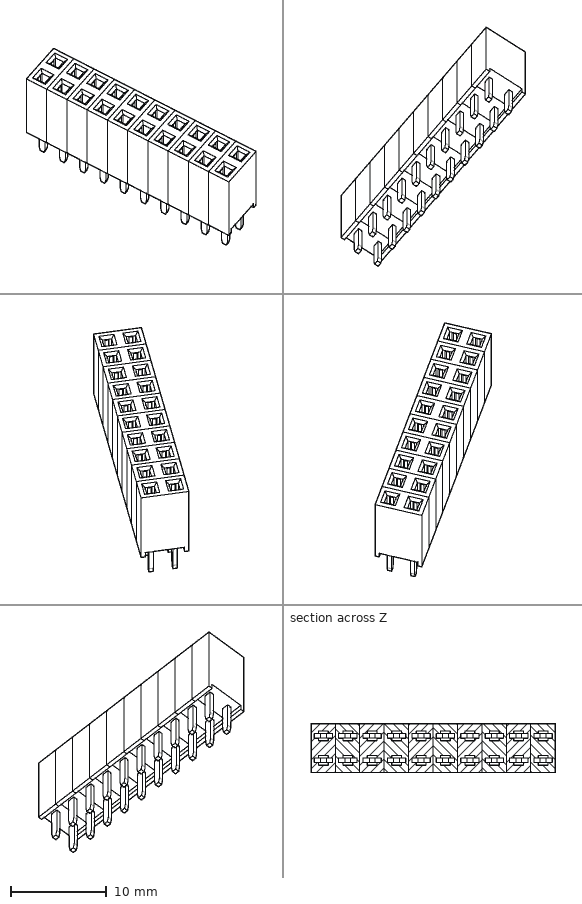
import cadquery as cq

columns = 10
pitch = 2.55
row_offsets = (-pitch / 2, pitch / 2)
depth = 2 * pitch

housing_height = 8.5
foot_height = 0.6
foot_width = 0.45

mouth_size = 1.6
bore_size = 1.0
lead_in_depth = (mouth_size - bore_size) / 2
bore_top_z = housing_height - lead_in_depth
bore_floor_z = 4.06

contact_thickness = 0.45
slot_cover = 0.1
slot_top_z = bore_top_z - slot_cover
slot_width = 1.88
slot_bottom_width = 0.6
slot_taper_depth = 1.52
slot_bottom_sag = 0.1

tail_width = 0.75
tail_length = 3.2
tip_width = 0.48
tip_length = 0.6


def make_block():
    """One column of the housing: a block on two feet that run along X."""
    block = cq.Workplane("XY").box(pitch, depth, housing_height, centered=(True, True, False))
    underside = cq.Workplane("XY").box(
        pitch, depth - 2 * foot_width, foot_height, centered=(True, True, False)
    )
    return block.cut(underside)


def make_lead_in(y):
    """Square funnel from the mouth down to the bore."""
    return (
        cq.Workplane("XY", origin=(0, y, housing_height))
        .rect(mouth_size, mouth_size)
        .workplane(offset=-lead_in_depth)
        .rect(bore_size, bore_size)
        .loft(ruled=True)
    )


def make_bore(y):
    """Square bore from its floor up to the top face."""
    return cq.Workplane("XY", origin=(0, y, bore_floor_z)).box(
        bore_size, bore_size, housing_height - bore_floor_z, centered=(True, True, False)
    )


def make_contact_slot(y):
    """Thin slot across the bore, wider than it along X, with a tapered and rounded lower end."""
    arc_end_z = bore_floor_z - slot_taper_depth
    return (
        cq.Workplane("XZ", origin=(0, y, 0))
        .moveTo(-slot_width / 2, slot_top_z)
        .lineTo(-slot_width / 2, bore_floor_z)
        .lineTo(-slot_bottom_width / 2, arc_end_z)
        .threePointArc((0, arc_end_z - slot_bottom_sag), (slot_bottom_width / 2, arc_end_z))
        .lineTo(slot_width / 2, bore_floor_z)
        .lineTo(slot_width / 2, slot_top_z)
        .close()
        .extrude(contact_thickness / 2, both=True)
    )


def make_tail(y):
    """Flat solder tail that narrows to its tip."""
    return (
        cq.Workplane("XZ", origin=(0, y, 0))
        .moveTo(-tail_width / 2, foot_height)
        .lineTo(-tail_width / 2, tip_length - tail_length)
        .lineTo(-tip_width / 2, -tail_length)
        .lineTo(tip_width / 2, -tail_length)
        .lineTo(tail_width / 2, tip_length - tail_length)
        .lineTo(tail_width / 2, foot_height)
        .close()
        .extrude(contact_thickness / 2, both=True)
    )


def make_column(x):
    """One connector column: a housing block with two sockets and two tails."""
    column = make_block()
    for y in row_offsets:
        column = column.cut(make_lead_in(y)).cut(make_bore(y)).cut(make_contact_slot(y))
        column = column.union(make_tail(y))
    return column.translate((x, 0, 0))


first_column_x = -pitch * (columns - 1) / 2
connector_columns = [make_column(first_column_x + pitch * i) for i in range(columns)]

result = cq.Compound.makeCompound([column.val() for column in connector_columns])